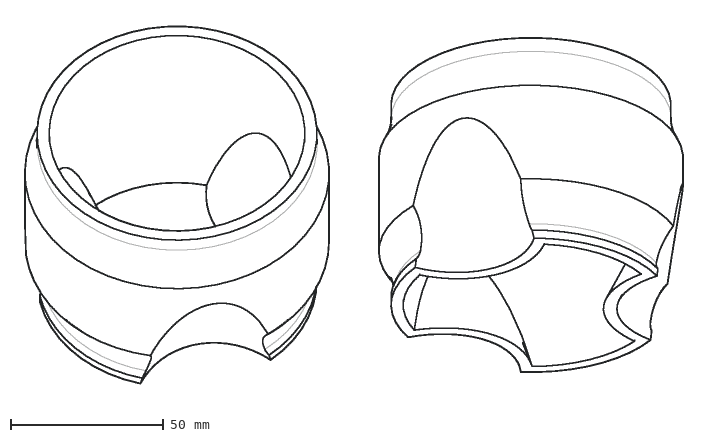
import cadquery as cq
import math

HEIGHT = 75.0
BORE_RADIUS = 42.0
NECK_RADIUS = 46.0
BODY_RADIUS = 50.0
NECK_BOTTOM = 70.0
BODY_TOP = 55.0
BODY_BOTTOM = 20.0

GROOVE_RADIUS = 45.0
GROOVE_FLOOR = 6.0
LIP_TOP = 3.0

FLUTE_ANGLES = (90.0, 210.0, 330.0)
FLUTE_TILT = 35.0
FLUTE_HALF_ANGLE = 9.5
FLUTE_AXIS_OFFSET = 60.15
FLUTE_BASE_RADIUS = 23.4
FLUTE_WALL = 4.0
CONE_START = -60.0
CONE_END = 130.0


def arc_middle(flat_end, steep_end):
    """Middle point of the arc that leaves flat_end parallel to Z and reaches steep_end.

    Points are (radius, height) pairs.
    """
    rise = steep_end[1] - flat_end[1]
    flare = steep_end[0] - flat_end[0]
    arc_radius = (rise**2 + flare**2) / (2 * flare)
    half_sweep = math.asin(abs(rise) / arc_radius) / 2
    middle_flare = arc_radius * (1 - math.cos(half_sweep))
    middle_rise = math.copysign(arc_radius * math.sin(half_sweep), rise)
    return (flat_end[0] + middle_flare, flat_end[1] + middle_rise)


def make_turned_blank():
    """Solid of revolution with the sleeve's outer profile, not yet bored."""
    lip = (NECK_RADIUS, LIP_TOP)
    groove = (GROOVE_RADIUS, GROOVE_FLOOR)
    body_low = (BODY_RADIUS, BODY_BOTTOM)
    body_high = (BODY_RADIUS, BODY_TOP)
    neck = (NECK_RADIUS, NECK_BOTTOM)
    profile = (
        cq.Workplane("XZ")
        .lineTo(NECK_RADIUS, 0)
        .lineTo(*lip)
        .threePointArc(arc_middle(groove, lip), groove)
        .threePointArc(arc_middle(groove, body_low), body_low)
        .lineTo(*body_high)
        .threePointArc(arc_middle(neck, body_high), neck)
        .lineTo(NECK_RADIUS, HEIGHT)
        .lineTo(0, HEIGHT)
        .close()
    )
    return profile.revolve(360, (0, 0, 0), (0, 1, 0))


def make_flute_cone(angle, growth):
    """Flute cone at the given angle around Z, its surface moved outward by growth."""
    half_angle = math.radians(FLUTE_HALF_ANGLE)
    tilt = math.radians(FLUTE_TILT)
    base_radius = FLUTE_BASE_RADIUS + growth / math.cos(half_angle)
    start_radius = base_radius + CONE_START * math.tan(half_angle)
    end_radius = base_radius + CONE_END * math.tan(half_angle)
    foot_distance = FLUTE_AXIS_OFFSET * math.cos(tilt)
    foot = cq.Vector(foot_distance * math.cos(tilt), 0, -foot_distance * math.sin(tilt))
    direction = cq.Vector(math.sin(tilt), 0, math.cos(tilt))
    cone = cq.Solid.makeCone(
        start_radius, end_radius, CONE_END - CONE_START, foot + direction * CONE_START, direction
    )
    return cq.Workplane(cone).rotate((0, 0, 0), (0, 0, 1), angle)


def make_sleeve():
    """Bored sleeve with the flute walls bulging into the bore and the flutes cut outside."""
    blank = make_turned_blank()
    bore = cq.Workplane("XY").circle(BORE_RADIUS).extrude(HEIGHT)
    sleeve = blank.cut(bore)
    for angle in FLUTE_ANGLES:
        sleeve = sleeve.union(make_flute_cone(angle, FLUTE_WALL).intersect(blank))
    for angle in FLUTE_ANGLES:
        sleeve = sleeve.cut(make_flute_cone(angle, 0))
    return sleeve


result = make_sleeve()